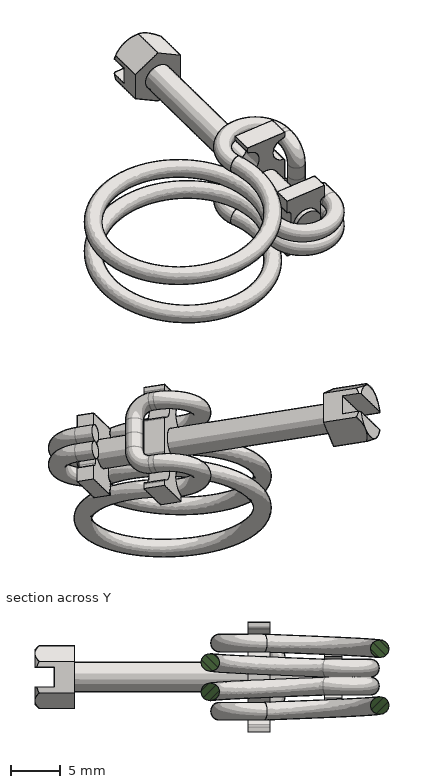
import cadquery as cq
import math


wire_diameter = 1.8
wire_radius = wire_diameter / 2
coil_outer_diameter = 19.8
coil_radius = (coil_outer_diameter - wire_diameter) / 2
hook_radius = 3.3
hook_center_y = 11.55
bail_hook_z = 3.42
end_hook_z = wire_radius
end_hook_tip_x = 2.38
bail_bridge_x = -1.85
bail_bend_radius = 1.87

hook_center_x = math.sqrt((coil_radius + hook_radius) ** 2 - hook_center_y**2)
hook_top_y = hook_center_y + hook_radius
hook_outer_x = hook_center_x + hook_radius
joint_angle = math.degrees(math.atan2(hook_center_y, hook_center_x))
joint_x = coil_radius * math.cos(math.radians(joint_angle))
joint_y = coil_radius * math.sin(math.radians(joint_angle))
coil_sweep = 360 + (180 - 2 * joint_angle)
coil_rise = bail_hook_z - end_hook_z

screw_y = 11.65
shank_diameter = 3.0
shank_end_x = 5.22
overall_length = 36.0
head_face_x = coil_outer_diameter / 2 - overall_length
head_length = 4.0
head_across_flats = 5.47
head_corner_diameter = head_across_flats / math.cos(math.radians(30))
head_chamfer = 0.43
driver_slot_width = 1.95
driver_slot_depth = 1.95

bar_width = 4.5
bail_bar_x = -4.7
bail_bar_thickness = 2.23
bail_bar_height = 11.0
bail_groove_radius = 1.4
bail_groove_rounding = 0.2
end_bar_x = 2.95
end_bar_thickness = 1.75
end_bar_height = 7.2
end_groove_height = 4.17
end_groove_depth = 0.45
end_groove_corner = 0.43


def wire_along(path, start, direction):
    """Round wire swept along a path from its start point."""
    profile = cq.Workplane(cq.Plane(origin=start, normal=direction)).circle(wire_radius)
    return profile.sweep(path, isFrenet=True)


def make_bail():
    """Two hooks, above and below the screw, joined by a straight bridge beyond it."""
    bend_start_x = bail_bridge_x - bail_bend_radius
    bend_middle = bail_bend_radius * math.sin(math.radians(45))
    bend_center_z = bail_hook_z - bail_bend_radius
    start = (-joint_x, joint_y, bail_hook_z)
    upper_path = (
        cq.Workplane("XY", origin=(0, 0, bail_hook_z))
        .moveTo(-joint_x, joint_y)
        .threePointArc((-hook_outer_x, hook_center_y), (-hook_center_x, hook_top_y))
        .lineTo(bend_start_x, hook_top_y)
    )
    bend_path = (
        cq.Workplane("XZ", origin=(0, hook_top_y, 0))
        .moveTo(bend_start_x, bail_hook_z)
        .threePointArc(
            (bend_start_x + bend_middle, bend_center_z + bend_middle),
            (bail_bridge_x, bend_center_z),
        )
        .lineTo(bail_bridge_x, 0)
    )
    upper_hook = wire_along(upper_path, start, (-joint_y, -joint_x, 0))
    bend = wire_along(bend_path, (bend_start_x, hook_top_y, bail_hook_z), (1, 0, 0))
    upper_half = upper_hook.union(bend)
    return upper_half.union(upper_half.mirror("XY"))


def make_coil():
    """Upper coil, rising from its end hook to the bail."""
    helix = cq.Wire.makeHelix(coil_rise * 360 / coil_sweep, coil_rise, coil_radius)
    coil = wire_along(cq.Workplane(helix), (coil_radius, 0, 0), (0, 1, 0))
    coil = coil.rotate((0, 0, 0), (0, 0, 1), joint_angle).translate((0, 0, end_hook_z))
    hook_path = (
        cq.Workplane("XY", origin=(0, 0, end_hook_z))
        .moveTo(joint_x, joint_y)
        .threePointArc((hook_outer_x, hook_center_y), (hook_center_x, hook_top_y))
        .lineTo(end_hook_tip_x, hook_top_y)
    )
    hook = wire_along(hook_path, (joint_x, joint_y, end_hook_z), (joint_y, -joint_x, 0))
    return coil.union(hook)


def make_screw():
    """Slotted hexagon-head screw."""
    axis_plane = cq.Plane(origin=(head_face_x, screw_y, 0), xDir=(0, 0, 1), normal=(1, 0, 0))
    head = cq.Workplane(axis_plane).polygon(6, head_corner_diameter).extrude(head_length)
    rounding = (
        cq.Workplane(axis_plane)
        .circle(head_corner_diameter / 2)
        .extrude(head_length)
        .faces("<X")
        .chamfer(head_chamfer)
    )
    driver_slot = cq.Workplane(axis_plane).rect(driver_slot_width, head_across_flats * 2)
    head = head.intersect(rounding).cut(driver_slot.extrude(driver_slot_depth))
    shank = (
        cq.Workplane(axis_plane)
        .workplane(offset=head_length)
        .circle(shank_diameter / 2)
        .extrude(shank_end_x - head_face_x - head_length)
    )
    return head.union(shank)


def bar_plane(x):
    """Plane across the screw, with Y and Z as its axes."""
    return cq.Workplane(cq.Plane(origin=(x, screw_y, 0), xDir=(0, 1, 0), normal=(1, 0, 0)))


def make_bar(x, thickness, height):
    """Plain crossbar with a hole for the screw."""
    bar = bar_plane(x).rect(bar_width, height).extrude(thickness)
    return bar.cut(bar_plane(x).circle(shank_diameter / 2).extrude(thickness))


def make_bail_bar():
    """Crossbar held in the bail, with a round groove for each strand of its hooks."""
    groove_points = [(y * bar_width / 2, z * bail_hook_z) for y in (-1, 1) for z in (-1, 1)]
    grooves = (
        bar_plane(bail_bar_x)
        .pushPoints(groove_points)
        .circle(bail_groove_radius)
        .extrude(bail_bar_thickness)
    )
    grooved_bar = make_bar(bail_bar_x, bail_bar_thickness, bail_bar_height).cut(grooves)
    middle_x = bail_bar_x + bail_bar_thickness / 2
    for groove_y, groove_z in groove_points:
        for rise in (-bail_groove_radius, bail_groove_radius):
            rim_point = (middle_x, screw_y + groove_y, groove_z + rise)
            rim = cq.selectors.NearestToPointSelector(rim_point)
            grooved_bar = grooved_bar.edges("|X").edges(rim).fillet(bail_groove_rounding)
    return grooved_bar


def make_end_bar():
    """Crossbar held in the end hooks, with a shared groove on each side for the pair of hooks."""
    grooves = (
        bar_plane(end_bar_x)
        .pushPoints([(-bar_width / 2, 0), (bar_width / 2, 0)])
        .rect(2 * end_groove_depth, end_groove_height)
        .extrude(end_bar_thickness)
        .edges("|X")
        .fillet(end_groove_corner)
    )
    return make_bar(end_bar_x, end_bar_thickness, end_bar_height).cut(grooves)


bail = make_bail()
upper_coil = make_coil()
coils = [upper_coil, upper_coil.mirror("XY")]
screw = make_screw()

bars = []
for bar in (make_bail_bar(), make_end_bar()):
    for wire in (bail, *coils):
        bar = bar.cut(wire)
    bars.append(bar)

result = cq.Compound.makeCompound(
    [bail.val(), *[coil.val() for coil in coils], screw.val(), *[bar.val() for bar in bars]]
)